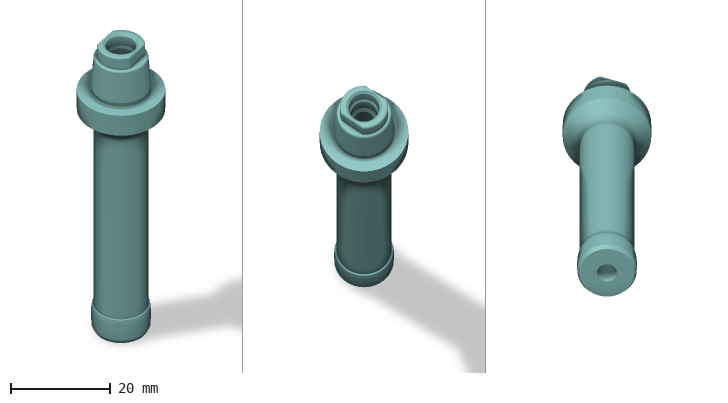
import cadquery as cq
import math

flange_radius = 8.9
flange_thickness = 5.0
total_length = 71.45

shank_radius = 5.5
flare_angle = math.radians(48)
flare_fillet = 2.0

collar_height = 6.0
collar_top_radius = 5.85
collar_rim_radius = 5.97
collar_radius = 6.03
collar_lead_height = 0.9
collar_end_height = 1.0
collar_end_radius = 5.5

taper_base_radius = 6.1
taper_base_height = 1.05
taper_top_radius = 5.48
shoulder_height = 8.5
shoulder_round = 0.45

groove_radius = 5.95
groove_slope_end = 0.42
groove_round = 0.3
groove_round_height = 0.2
groove_face_angle = math.radians(12)

boss_top = 11.45
boss_radius = 4.85
boss_width_across_flats = 8.0
boss_round = 0.45

through_radius = 2.0
pilot_radius = 2.69
pilot_depth = 6.0
drill_point_angle = math.radians(118)
mouth_radius = 3.1
mouth_depth = 2.86
mouth_floor_chamfer = mouth_radius - pilot_radius
mouth_rim_chamfer = 0.5

bottom = boss_top - total_length


def make_body():
    """Solid of revolution: collar, shank, flange, relief groove and taper seat."""
    tangent_length = flare_fillet * math.tan(flare_angle / 2)
    flare_top = -flange_thickness
    flare_foot = flare_top - (flange_radius - shank_radius) / math.tan(flare_angle)
    fillet_start = (shank_radius, flare_foot - tangent_length)
    fillet_middle = (
        shank_radius + flare_fillet * (1 - math.cos(flare_angle / 2)),
        fillet_start[1] + flare_fillet * math.sin(flare_angle / 2),
    )
    fillet_end = (
        shank_radius + flare_fillet * (1 - math.cos(flare_angle)),
        fillet_start[1] + flare_fillet * math.sin(flare_angle),
    )

    arc_centre = groove_radius + groove_round
    floor_start = (
        arc_centre + groove_round * math.sin(groove_face_angle),
        groove_round_height - groove_round * math.cos(groove_face_angle),
    )
    relief_radius = floor_start[0] - floor_start[1] / math.tan(groove_face_angle)
    middle_angle = (math.pi / 2 - groove_face_angle) / 2
    floor_middle = (
        arc_centre - groove_round * math.cos(middle_angle),
        groove_round_height - groove_round * math.sin(middle_angle),
    )

    barrel_bottom = bottom + collar_end_height
    barrel_top = bottom + collar_height - collar_lead_height

    profile = (
        cq.Workplane("XZ")
        .moveTo(0, bottom)
        .lineTo(collar_end_radius, bottom)
        .lineTo(collar_rim_radius, barrel_bottom)
        .threePointArc((collar_radius, (barrel_bottom + barrel_top) / 2), (collar_rim_radius, barrel_top))
        .lineTo(collar_top_radius, bottom + collar_height)
        .lineTo(shank_radius, bottom + collar_height)
        .lineTo(*fillet_start)
        .threePointArc(fillet_middle, fillet_end)
        .lineTo(flange_radius, flare_top)
        .lineTo(flange_radius, 0)
        .lineTo(relief_radius, 0)
        .lineTo(*floor_start)
        .threePointArc(floor_middle, (groove_radius, groove_round_height))
        .lineTo(groove_radius, groove_slope_end)
        .lineTo(taper_base_radius, taper_base_height)
        .lineTo(taper_top_radius, shoulder_height)
        .lineTo(0, shoulder_height)
        .close()
    )
    body = profile.revolve(360, (0, 0, 0), (0, 1, 0))
    return body.faces(">Z").edges().fillet(shoulder_round)


def make_boss():
    """Cylinder with two flats facing -X and +X and a rounded top rim."""
    boss_height = boss_top - shoulder_height
    cylinder = cq.Workplane("XY").circle(boss_radius).extrude(boss_height)
    slab = cq.Workplane("XY").rect(boss_width_across_flats, 2 * boss_radius).extrude(boss_height)
    boss = cylinder.intersect(slab).faces(">Z").edges().fillet(boss_round)
    return boss.translate((0, 0, shoulder_height))


def make_bore():
    """Through hole widening to a drilled pilot bore and a chamfered mouth."""
    pilot_floor = boss_top - pilot_depth
    drill_point_height = (pilot_radius - through_radius) / math.tan(drill_point_angle / 2)
    mouth_floor = boss_top - mouth_depth
    profile = (
        cq.Workplane("XZ")
        .moveTo(0, bottom)
        .lineTo(through_radius, bottom)
        .lineTo(through_radius, pilot_floor - drill_point_height)
        .lineTo(pilot_radius, pilot_floor)
        .lineTo(pilot_radius, mouth_floor - mouth_floor_chamfer)
        .lineTo(mouth_radius, mouth_floor)
        .lineTo(mouth_radius, boss_top - mouth_rim_chamfer)
        .lineTo(mouth_radius + mouth_rim_chamfer, boss_top)
        .lineTo(0, boss_top)
        .close()
    )
    return profile.revolve(360, (0, 0, 0), (0, 1, 0))


result = make_body().union(make_boss()).cut(make_bore())